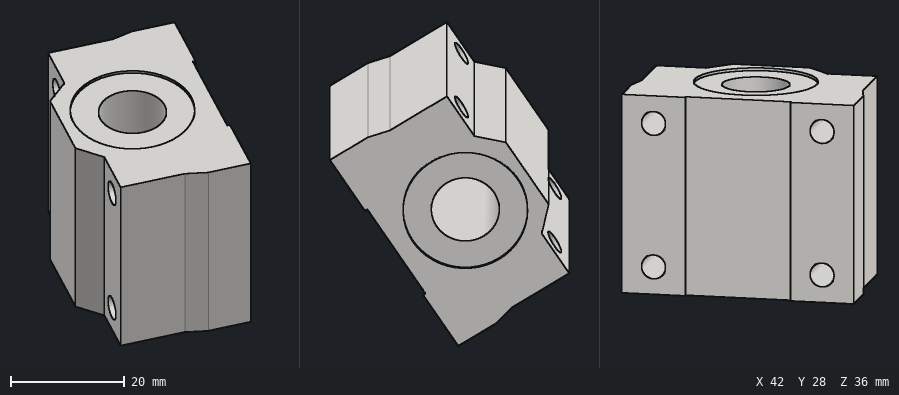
import cadquery as cq

width = 42.0
height = 36.0
half_width = width / 2

depth = 28.0
shoulder_depth = 24.0
flank_end_depth = 8.0
taper_end_depth = 12.0
bore_depth = 15.0

side_inset = 1.0
nose_base_width = 22.0
nose_tip_width = 14.0
relief_width = 19.0
relief_depth = 0.5

bore_diameter = 12.0
recess_diameter = 22.0
recess_depth = 0.5

hole_diameter = 4.33
hole_spacing_x = 30.5
hole_spacing_z = 26.0

back_y = bore_depth


def make_body():
    """Extrude the cross-section, mirrored about the YZ plane, centred along Z."""
    body_half_width = half_width - side_inset
    relief_y = back_y - relief_depth
    shoulder_y = back_y - shoulder_depth
    tip_y = back_y - depth
    right_side = [
        (relief_width / 2, relief_y),
        (relief_width / 2, back_y),
        (half_width, back_y),
        (half_width, back_y - flank_end_depth),
        (body_half_width, back_y - taper_end_depth),
        (body_half_width, shoulder_y),
        (nose_base_width / 2, shoulder_y),
        (nose_tip_width / 2, tip_y),
    ]
    left_side = [(-x, y) for x, y in reversed(right_side)]
    profile = cq.Workplane("XY").polyline(right_side + left_side).close()
    return profile.extrude(height / 2, both=True)


def cut_bore(body):
    """Cut the through bore and a bearing recess in the top and bottom faces."""
    body = body.faces(">Z").workplane(origin=(0, 0, 0)).circle(bore_diameter / 2).cutThruAll()
    for end in (">Z", "<Z"):
        body = body.faces(end).workplane(origin=(0, 0, 0)).circle(recess_diameter / 2).cutBlind(-recess_depth)
    return body


def cut_mounting_holes(body):
    """Cut the four holes that run through the block along Y."""
    holes = (
        cq.Workplane("XZ")
        .rarray(hole_spacing_x, hole_spacing_z, 2, 2)
        .circle(hole_diameter / 2)
        .extrude(depth, both=True)
    )
    return body.cut(holes)


result = cut_mounting_holes(cut_bore(make_body()))